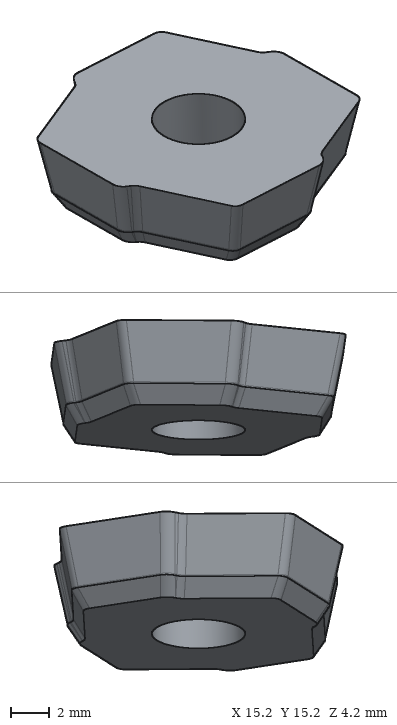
import cadquery as cq
import math

width = 15.24
height = 4.2
hole_diameter = 4.8

waist_height = 1.0
land_height = 0.09
upper_inset = 0.61
lower_inset = 0.6
step_inset_share = 0.9

long_angle = -15.0
step_angle = 45.0
short_angle = 10.0
quarter_turn = 90.0
short_distance = 7.05
lobe_radius = 0.76
valley_radius = 0.76
corner_radius = 0.56
lobe_center_x = -0.34


def normal(angle):
    """Outward unit normal of a rim face."""
    turn = math.radians(angle)
    return cq.Vector(math.sin(turn), -math.cos(turn))


lobe_center = cq.Vector(lobe_center_x, lobe_radius - width / 2)
long_distance = lobe_center.dot(normal(long_angle)) + lobe_radius
step_distance = lobe_center.dot(normal(step_angle)) + lobe_radius


def crossing(first, second):
    """Point where two face lines, each an (angle, distance) pair, meet."""
    (angle_a, distance_a), (angle_b, distance_b) = first, second
    a = normal(angle_a)
    b = normal(angle_b)
    cross = a.x * b.y - a.y * b.x
    x = (distance_a * b.y - distance_b * a.y) / cross
    y = (a.x * distance_b - b.x * distance_a) / cross
    return cq.Vector(x, y)


def rounded_joint(first, second, radius):
    """Start, middle and end of the arc joining two faces; a negative radius makes a valley."""
    angle_a, distance_a = first
    angle_b, distance_b = second
    center = crossing((angle_a, distance_a - radius), (angle_b, distance_b - radius))
    angles = (angle_a, (angle_a + angle_b) / 2, angle_b)
    return [center + normal(angle) * radius for angle in angles]


def rim_wire(inset, z):
    """Closed rim, moved inward by the inset."""
    arcs = []
    for quarter in range(4):
        turn = quarter * quarter_turn
        long_face = (turn + long_angle, long_distance - inset)
        step_face = (turn + step_angle, step_distance - step_inset_share * inset)
        short_face = (turn + short_angle, short_distance - inset)
        next_long_face = (turn + quarter_turn + long_angle, long_distance - inset)
        arcs.append(rounded_joint(long_face, step_face, lobe_radius))
        arcs.append(rounded_joint(step_face, short_face, -valley_radius))
        arcs.append(rounded_joint(short_face, next_long_face, corner_radius))
    edges = []
    for index, (start, middle, end) in enumerate(arcs):
        next_start = arcs[(index + 1) % len(arcs)][0]
        edges.append(cq.Edge.makeThreePointArc(start, middle, end))
        edges.append(cq.Edge.makeLine(end, next_start))
    return cq.Wire.assembleEdges(edges).translate(cq.Vector(0, 0, z))


def band(lower_wire, upper_wire):
    """Straight-sided tapered solid between two rims."""
    return cq.Workplane(obj=cq.Solid.makeLoft([lower_wire, upper_wire], True))


bottom_rim = rim_wire(upper_inset + lower_inset, 0)
waist_rim = rim_wire(upper_inset, waist_height)
land_rim = rim_wire(upper_inset, waist_height + land_height)
top_rim = rim_wire(0, height)
body = band(bottom_rim, waist_rim)
body = body.union(band(waist_rim, land_rim))
body = body.union(band(land_rim, top_rim))

hole = cq.Workplane("XY").circle(hole_diameter / 2).extrude(height)
result = body.cut(hole)